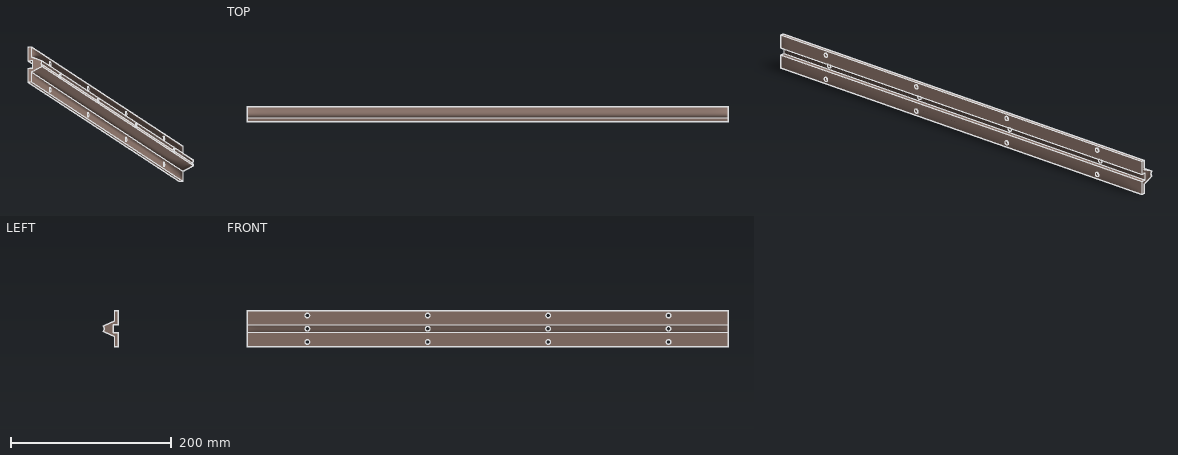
import cadquery as cq

LENGTH = 599.5
DEPTH = 18.81
HEIGHT = 45.0

FLANGE_THICKNESS = 4.75
SLOT_HEIGHT = 9.5
SLOT_DEPTH = 6.0
NOSE_ROOT_HEIGHT = 19.5
NOSE_TIP_HEIGHT = 7.0
NOTCH_DEPTH = 1.5

HOLE_DIAMETER = 5.5
HOLE_COUNT = 4
FIRST_HOLE_OFFSET = 75.0
HOLE_PITCH = 150.0
HOLE_ROW_SPACING = 16.5


def make_rail():
    """Extrude the mirrored cross-section along X, centred on the origin."""
    upper_half = [
        (SLOT_DEPTH, 0),
        (SLOT_DEPTH, SLOT_HEIGHT / 2),
        (0, SLOT_HEIGHT / 2),
        (0, HEIGHT / 2),
        (FLANGE_THICKNESS, HEIGHT / 2),
        (FLANGE_THICKNESS, NOSE_ROOT_HEIGHT / 2),
        (DEPTH, NOSE_TIP_HEIGHT / 2),
        (DEPTH - NOTCH_DEPTH, 0),
    ]
    lower_half = [(y, -z) for y, z in reversed(upper_half[1:-1])]
    return (
        cq.Workplane("YZ")
        .polyline(upper_half + lower_half)
        .close()
        .extrude(LENGTH / 2, both=True)
    )


def make_screw_holes():
    """Cylinders along Y that pass through the whole depth of the rail."""
    first_x = FIRST_HOLE_OFFSET - LENGTH / 2
    centres = [
        (first_x + column * HOLE_PITCH, row * HOLE_ROW_SPACING)
        for column in range(HOLE_COUNT)
        for row in (-1, 0, 1)
    ]
    return (
        cq.Workplane("XZ")
        .pushPoints(centres)
        .circle(HOLE_DIAMETER / 2)
        .extrude(-DEPTH)
    )


result = make_rail().cut(make_screw_holes())